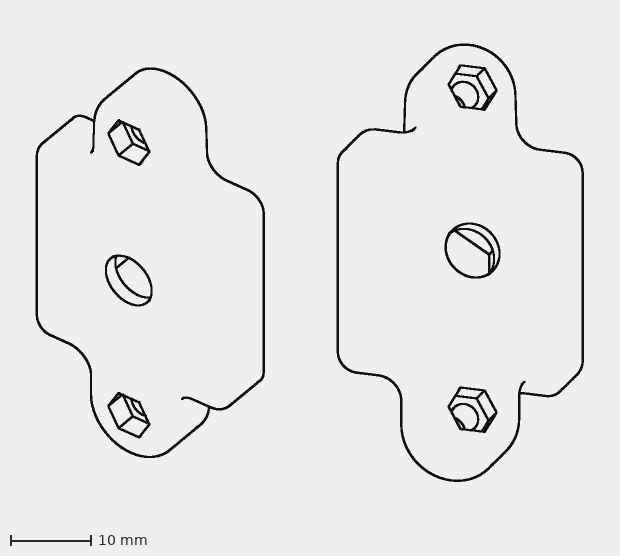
import cadquery as cq
import math

thickness = 8.0
length = 55.6
body_side = 30.0
corner_radius = 2.5
neck_radius = 3.0
edge_radius = 1.5

upper_ear_radius = 6.1
lower_ear_radius = 6.6
upper_ear_lean = math.radians(1.8)
lower_ear_lean = 0.0

shaft_hole_diameter = 7.1
screw_hole_diameter = 3.6
nut_across_flats = 5.5
nut_pocket_depth = 3.0
shaft_nut_across_flats = 10.0
shaft_bore_depth = 2.0

front_y = -thickness / 2
back_y = thickness / 2
body_half = body_side / 2
upper_center_z = length / 2 - upper_ear_radius
lower_center_z = lower_ear_radius - length / 2


def sketch_plane(y):
    """XZ plane at the given Y; positive extrusion runs toward -Y."""
    return cq.Workplane("XZ", origin=(0, y, 0))


def make_ear(center_z, radius, lean):
    """Ear from the body's middle to a round end, its sides tangent to that end."""
    outward = math.copysign(1, center_z)
    tangent_x = radius * math.cos(lean)
    tangent_z = center_z + outward * radius * math.sin(lean)
    root_x = tangent_x + abs(tangent_z) * math.tan(lean)
    return (
        sketch_plane(back_y)
        .moveTo(-root_x, 0)
        .lineTo(-tangent_x, tangent_z)
        .threePointArc((0, center_z + outward * radius), (tangent_x, tangent_z))
        .lineTo(root_x, 0)
        .close()
        .extrude(thickness)
    )


def make_plate():
    """Body and ears in one piece, with blended necks and a rounded front edge."""
    body = sketch_plane(back_y).rect(body_side, body_side).extrude(thickness)
    body = body.edges("|Y").fillet(corner_radius)
    plate = body.union(make_ear(upper_center_z, upper_ear_radius, upper_ear_lean))
    plate = plate.union(make_ear(lower_center_z, lower_ear_radius, lower_ear_lean))

    neck_reach = lower_ear_radius + corner_radius
    neck_zone = cq.selectors.BoxSelector(
        (-neck_reach, -thickness, -body_half - corner_radius / 2),
        (neck_reach, thickness, body_half + corner_radius / 2),
    )
    plate = plate.edges("|Y").edges(neck_zone).fillet(neck_radius)
    return plate.faces("<Y").edges().fillet(edge_radius)


def make_hole(center_z, diameter):
    """Round cutter through the whole thickness."""
    return sketch_plane(back_y).center(0, center_z).circle(diameter / 2).extrude(thickness)


def make_hexagon(workplane, across_flats, depth, turn=0):
    """Hexagonal cutter extruded toward -Y; corners point along X until turned."""
    across_corners = across_flats / math.cos(math.pi / 6)
    return workplane.transformed(rotate=(0, 0, turn)).polygon(6, across_corners).extrude(depth)


def make_ear_nut_pocket(center_z):
    """Nut pocket sunk into an ear from the front face."""
    floor = sketch_plane(front_y + nut_pocket_depth).center(0, center_z)
    return make_hexagon(floor, nut_across_flats, nut_pocket_depth)


def make_shaft_nut_pocket():
    """Larger nut pocket in the back face, with two flats facing along X."""
    depth = thickness - shaft_bore_depth
    return make_hexagon(sketch_plane(back_y), shaft_nut_across_flats, depth, turn=30)


result = make_plate()
result = result.cut(make_hole(0, shaft_hole_diameter))
result = result.cut(make_shaft_nut_pocket())
for ear_center_z in (upper_center_z, lower_center_z):
    result = result.cut(make_hole(ear_center_z, screw_hole_diameter))
    result = result.cut(make_ear_nut_pocket(ear_center_z))